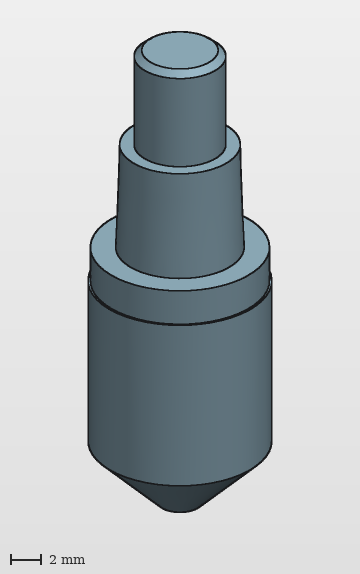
import cadquery as cq

total_height = 33.7

sleeve_diameter = 12.0
tip_diameter = 3.0
sleeve_length = 12.0
cone_height = (sleeve_diameter - tip_diameter) / 2
sleeve_top = cone_height + sleeve_length

collar_diameter = 11.7
collar_height = 2.5
taper_base_diameter = 8.4
taper_top_diameter = 7.9
taper_height = 7.7
stud_diameter = 6.0
stud_chamfer_width = 0.5
stud_chamfer_height = 0.45
collar_top = sleeve_top + collar_height
taper_top = collar_top + taper_height


def revolve_about_z(profile):
    """Turn a closed (radius, height) outline in the XZ plane about the Z axis."""
    return cq.Workplane("XZ").polyline(profile).close().revolve(360, (0, 0), (0, 1))


def make_sleeve():
    """Cylinder with a blunt conical point at its lower end."""
    return revolve_about_z([
        (0, 0),
        (tip_diameter / 2, 0),
        (sleeve_diameter / 2, cone_height),
        (sleeve_diameter / 2, sleeve_top),
        (0, sleeve_top),
    ])


def make_plug():
    """Collar, tapered shoulder and chamfered stud in one turned piece."""
    return revolve_about_z([
        (0, sleeve_top),
        (collar_diameter / 2, sleeve_top),
        (collar_diameter / 2, collar_top),
        (taper_base_diameter / 2, collar_top),
        (taper_top_diameter / 2, taper_top),
        (stud_diameter / 2, taper_top),
        (stud_diameter / 2, total_height - stud_chamfer_height),
        (stud_diameter / 2 - stud_chamfer_width, total_height),
        (0, total_height),
    ])


sleeve = make_sleeve()
plug = make_plug()
result = cq.Compound.makeCompound([sleeve.val(), plug.val()])